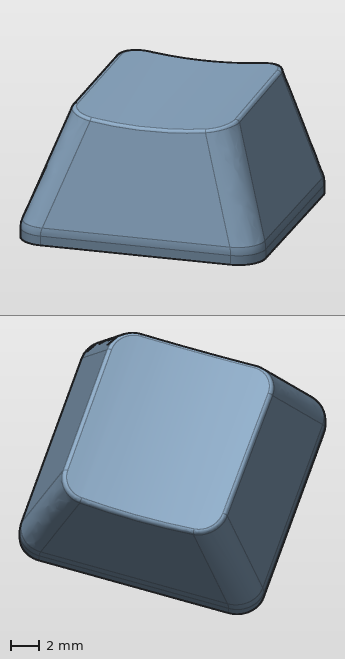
import cadquery as cq
import math

base_size = 18.16
skirt_height = 0.73
blend_height = 1.3
corner_radius = 2.0
stock_height = 10.9
side_angle = 20.0
front_angle = 21.2
back_angle = 4.5

dish_radius = 32.69
dish_bottom = 8.7
dish_tilt = 0.9
rim_radius = 0.3

half_size = base_size / 2


def wall_inset(angle, height):
    """How far a wall has moved inward at a height: a tangent arc, then a slope."""
    slope = math.radians(angle)
    blend_radius = (blend_height - skirt_height) / math.sin(slope)
    rise = min(height, blend_height) - skirt_height
    arc_inset = blend_radius - math.sqrt(blend_radius**2 - rise**2)
    slope_inset = max(height - blend_height, 0) * math.tan(slope)
    return arc_inset + slope_inset


def section(height):
    """Rounded rectangle inside the four walls at a height."""
    half_width = half_size - wall_inset(side_angle, height)
    front = -half_size + wall_inset(front_angle, height)
    back = half_size - wall_inset(back_angle, height)
    return (
        cq.Sketch()
        .rect(2 * half_width, back - front)
        .vertices()
        .fillet(corner_radius)
        .moved(cq.Location(cq.Vector(0, (front + back) / 2, height)))
    )


def loft_between(heights):
    """Solid through the wall sections at the given heights."""
    return cq.Workplane("XY").placeSketch(*[section(z) for z in heights]).loft()


def dish_cutter():
    """Large cylinder along Y, tilted so that it is lower at the front."""
    return (
        cq.Workplane("XZ")
        .center(0, dish_radius)
        .circle(dish_radius)
        .extrude(base_size, both=True)
        .rotate((0, 0, 0), (1, 0, 0), dish_tilt)
        .translate((0, 0, dish_bottom))
    )


blend_middle = (skirt_height + blend_height) / 2
foot = cq.Workplane("XY").placeSketch(section(skirt_height)).extrude(-skirt_height)
blend = loft_between([skirt_height, blend_middle, blend_height])
walls = loft_between([blend_height, stock_height])

walls = walls.cut(dish_cutter())
walls = walls.faces(">Z").edges().fillet(rim_radius)

result = foot.union(blend).union(walls)